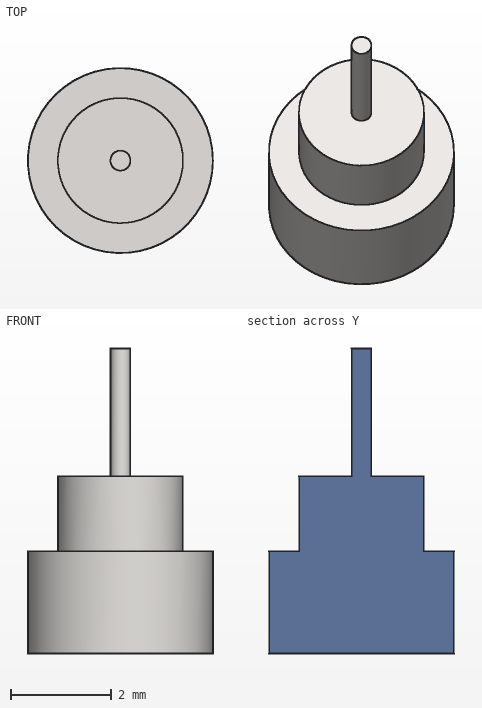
import cadquery as cq

base_diameter = 3.7
base_height = 2.05
collar_diameter = 2.5
collar_height = 1.5
insert_diameter = 1.96
pin_diameter = 0.4
overall_height = 6.1

collar_top = base_height + collar_height


def cylinder(diameter, bottom, top):
    """Upright cylinder on the Z axis between two heights."""
    return cq.Workplane("XY").workplane(offset=bottom).circle(diameter / 2).extrude(top - bottom)


def make_shell():
    """Stepped body with a bore in its collar for the insert."""
    base = cylinder(base_diameter, 0, base_height)
    collar = cylinder(collar_diameter, base_height, collar_top)
    bore = cylinder(insert_diameter, base_height, collar_top)
    return base.union(collar).cut(bore)


def make_core():
    """Insert that fills the bore flush with the collar, carrying the contact pin."""
    insert = cylinder(insert_diameter, base_height, collar_top)
    pin = cylinder(pin_diameter, collar_top, overall_height)
    return insert.union(pin)


result = make_shell().union(make_core(), clean=False)